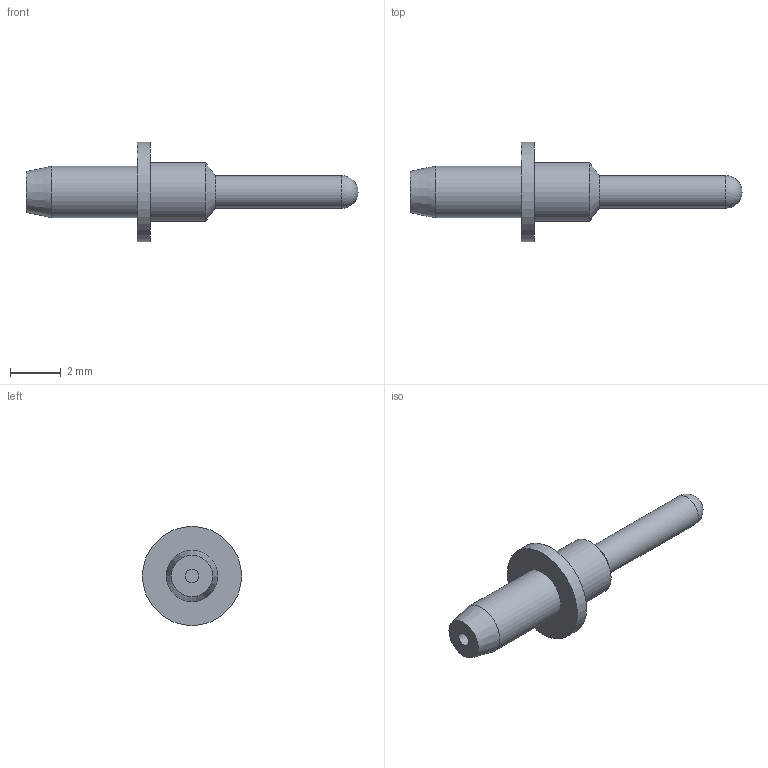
import cadquery as cq
import math


flange_diameter = 3.89
barrel_diameter = 2.03
barrel_nose_diameter = 1.62
shoulder_diameter = 2.30
pin_diameter = 1.28
bore_diameter = 0.53

total_length = 13.03
barrel_taper_length = 1.0
barrel_length = 4.37
flange_thickness = 0.51
shoulder_length = 2.16
shoulder_chamfer_length = 0.39
bore_depth = 1.0

flange_radius = flange_diameter / 2
barrel_radius = barrel_diameter / 2
barrel_nose_radius = barrel_nose_diameter / 2
shoulder_radius = shoulder_diameter / 2
pin_radius = pin_diameter / 2

flange_front = barrel_length + flange_thickness
shoulder_front = flange_front + shoulder_length
pin_start = shoulder_front + shoulder_chamfer_length
dome_center = total_length - pin_radius


def make_body():
    """Revolve the stepped half profile, ending in a hemispherical tip."""
    dome_offset = pin_radius * math.cos(math.radians(45))
    profile = (
        cq.Workplane("XY")
        .lineTo(0, barrel_nose_radius)
        .lineTo(barrel_taper_length, barrel_radius)
        .lineTo(barrel_length, barrel_radius)
        .lineTo(barrel_length, flange_radius)
        .lineTo(flange_front, flange_radius)
        .lineTo(flange_front, shoulder_radius)
        .lineTo(shoulder_front, shoulder_radius)
        .lineTo(pin_start, pin_radius)
        .lineTo(dome_center, pin_radius)
        .threePointArc((dome_center + dome_offset, dome_offset), (total_length, 0))
        .close()
    )
    return profile.revolve(360, (0, 0, 0), (1, 0, 0))


def make_bore():
    """Flat-bottomed blind hole in the rear face."""
    return cq.Workplane("YZ").circle(bore_diameter / 2).extrude(bore_depth)


result = make_body().cut(make_bore())